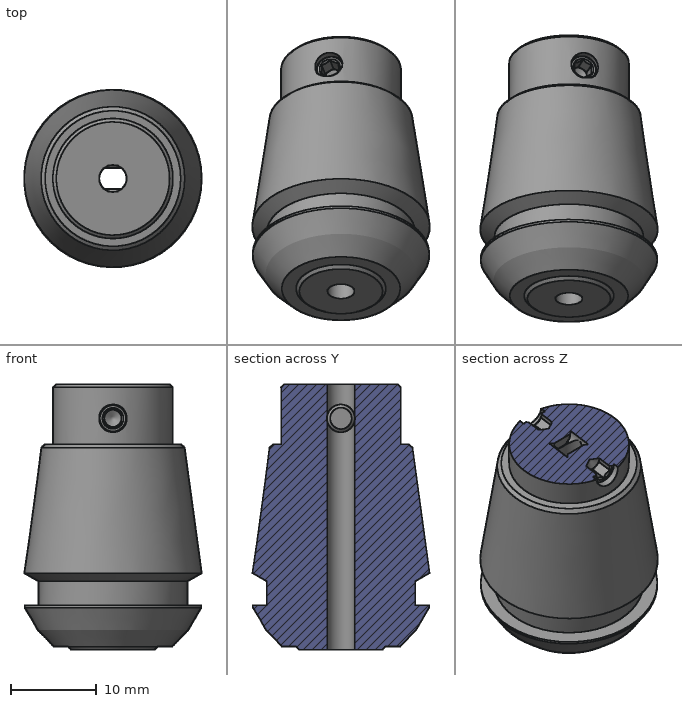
import cadquery as cq
import math

total_height = 31.0
edge_chamfer = 0.4

neck_radius = 7.0
neck_length = 7.0
shoulder_height = total_height - neck_length

grip_top_radius = 8.37
grip_max_radius = 10.365
grip_max_height = 8.96
shoulder_edge_radius = 7.9

groove_radius = 8.7
groove_top_height = 8.0
groove_bottom_height = 5.23

foot_radius = 10.3
foot_rim_thickness = 0.3
foot_knee_radius = 8.8
foot_knee_height = 2.35
foot_base_radius = 6.9
foot_base_height = 0.38

pad_face_radius = 4.85
pad_base_radius = pad_face_radius + foot_base_height

bore_diameter = 3.15

screw_depth_below_top = 4.0
screw_height = total_height - screw_depth_below_top
screw_diameter = 3.24
screw_tip_offset = 1.2
screw_length = 5.0
screw_head_offset = screw_tip_offset + screw_length
screw_head_chamfer = 0.1
screw_tip_diameter = 2.5
screw_tip_chamfer = (screw_diameter - screw_tip_diameter) / 2

socket_sides = 6
socket_across_flats = 2.0
socket_across_corners = socket_across_flats / math.cos(math.pi / socket_sides)
socket_mouth_diameter = 2.45
socket_depth = 2.0
socket_mouth_cone_depth = (socket_mouth_diameter - socket_across_flats) / 2
socket_end_angle = 120.0
socket_end_depth = socket_across_flats / 2 / math.tan(math.radians(socket_end_angle / 2))


def make_body():
    """Revolve the outer profile around the Z axis."""
    profile = [
        (0, 0),
        (pad_face_radius, 0),
        (pad_base_radius, foot_base_height),
        (foot_base_radius, foot_base_height),
        (foot_knee_radius, foot_knee_height),
        (foot_radius, groove_bottom_height - foot_rim_thickness),
        (foot_radius, groove_bottom_height),
        (groove_radius, groove_bottom_height),
        (groove_radius, groove_top_height),
        (grip_max_radius, grip_max_height),
        (grip_top_radius, shoulder_height - edge_chamfer),
        (shoulder_edge_radius, shoulder_height),
        (neck_radius, shoulder_height),
        (neck_radius, total_height - edge_chamfer),
        (neck_radius - edge_chamfer, total_height),
        (0, total_height),
    ]
    return cq.Workplane("XZ").polyline(profile).close().revolve(360, (0, 0, 0), (0, 1, 0))


def cross_plane(offset):
    """Workplane facing -Y, centred on the screw axis, at the given distance from the bore axis."""
    return cq.Workplane("XZ", origin=(0, -offset, screw_height))


def revolve_on_screw_axis(profile):
    """Revolve (offset, radius) points around the axis of the screw on the -Y side."""
    points = [(-offset, screw_height + radius) for offset, radius in profile]
    axis_start = (0, screw_height)
    axis_end = (-1, screw_height)
    return cq.Workplane("YZ").polyline(points).close().revolve(360, axis_start, axis_end)


def make_screw_hole():
    """Radial hole from the bore axis out through the neck."""
    return cross_plane(0).circle(screw_diameter / 2).extrude(neck_radius)


def make_socket():
    """Hexagon socket with a conical mouth and a conical end."""
    floor_offset = screw_head_offset - socket_depth
    outline = cq.Sketch().regularPolygon(socket_across_corners / 2, socket_sides)
    hexagon = cross_plane(floor_offset).placeSketch(outline).extrude(socket_depth)
    mouth = revolve_on_screw_axis([
        (screw_head_offset, 0),
        (screw_head_offset, socket_mouth_diameter / 2),
        (screw_head_offset - socket_mouth_cone_depth, socket_across_flats / 2),
        (screw_head_offset - socket_mouth_cone_depth, 0),
    ])
    end = revolve_on_screw_axis([
        (floor_offset, 0),
        (floor_offset, socket_across_flats / 2),
        (floor_offset - socket_end_depth, 0),
    ])
    return hexagon.union(mouth).union(end)


def make_screw():
    """Set screw on the -Y side, with a chamfered flat point."""
    shank = revolve_on_screw_axis([
        (screw_tip_offset, 0),
        (screw_tip_offset, screw_tip_diameter / 2),
        (screw_tip_offset + screw_tip_chamfer, screw_diameter / 2),
        (screw_head_offset - screw_head_chamfer, screw_diameter / 2),
        (screw_head_offset, screw_diameter / 2 - screw_head_chamfer),
        (screw_head_offset, 0),
    ])
    return shank.cut(make_socket())


result = make_body()
result = result.cut(cq.Workplane("XY").circle(bore_diameter / 2).extrude(total_height))

for side_angle in (0, 180):
    hole = make_screw_hole().rotate((0, 0, 0), (0, 0, 1), side_angle)
    screw = make_screw().rotate((0, 0, 0), (0, 0, 1), side_angle)
    result = result.cut(hole).union(screw)